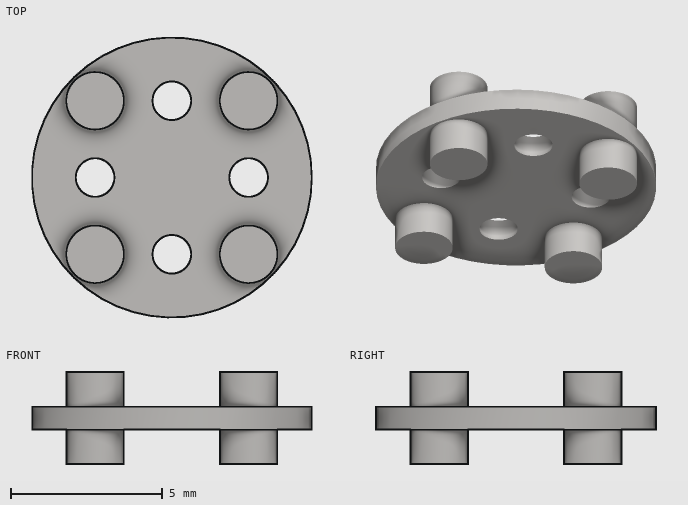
import cadquery as cq

disc_diameter = 9.27
disc_thickness = 0.762
disc_top_z = disc_thickness / 2
disc_bottom_z = -disc_top_z

offset = 2.54
hole_diameter = 1.27
hole_centers = [(offset, 0), (0, offset), (-offset, 0), (0, -offset)]
peg_centers = [(x, y) for x in (-offset, offset) for y in (-offset, offset)]

peg_diameter = 1.905
peg_height = 1.143


def make_disc():
    """Flat round disc with four through holes."""
    return (
        cq.Workplane("XY", origin=(0, 0, disc_bottom_z))
        .circle(disc_diameter / 2)
        .extrude(disc_thickness)
        .faces(">Z")
        .workplane()
        .pushPoints(hole_centers)
        .hole(hole_diameter)
    )


def make_peg(center, base_z):
    """Plain cylinder rising from base_z."""
    return (
        cq.Workplane("XY", origin=(*center, base_z))
        .circle(peg_diameter / 2)
        .extrude(peg_height)
    )


disc = make_disc()
upper_pegs = [make_peg(center, disc_top_z) for center in peg_centers]
lower_pegs = [make_peg(center, disc_bottom_z - peg_height) for center in peg_centers]

result = cq.Compound.makeCompound([disc.val(), *[peg.val() for peg in upper_pegs + lower_pegs]])